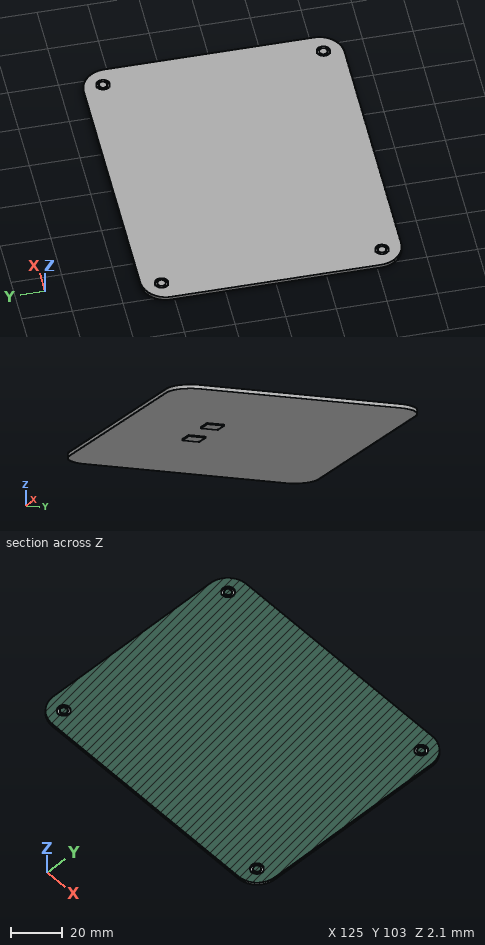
import cadquery as cq

length = 125.0
width = 103.0
corner_radius = 10.0
total_height = 2.1
pad_height = 0.5
plate_thickness = total_height - pad_height

groove_inset = 8.0
groove_outer_diameter = 5.2
groove_width = 1.0
groove_inner_diameter = groove_outer_diameter - 2 * groove_width
groove_depth = 1.0

pad_side = 7.0
pad_spacing = 20.0
pad_pair_x = 0.6
pad_pair_y = -16.5


def make_plate():
    """Flat plate with rounded corners, its underside on Z = 0."""
    plate = cq.Workplane("XY").rect(length, width).extrude(plate_thickness)
    return plate.edges("|Z").fillet(corner_radius)


def corner_grooves():
    """Rings to cut from the top face, one near each corner of the plate."""
    return (
        cq.Workplane("XY", origin=(0, 0, plate_thickness - groove_depth))
        .rarray(length - 2 * groove_inset, width - 2 * groove_inset, 2, 2)
        .circle(groove_outer_diameter / 2)
        .circle(groove_inner_diameter / 2)
        .extrude(groove_depth)
    )


def underside_pads():
    """Two square pads side by side along X, hanging below the plate."""
    return (
        cq.Workplane("XY", origin=(pad_pair_x, pad_pair_y, 0))
        .pushPoints([(-pad_spacing / 2, 0), (pad_spacing / 2, 0)])
        .rect(pad_side, pad_side)
        .extrude(-pad_height)
    )


result = make_plate().cut(corner_grooves()).union(underside_pads())